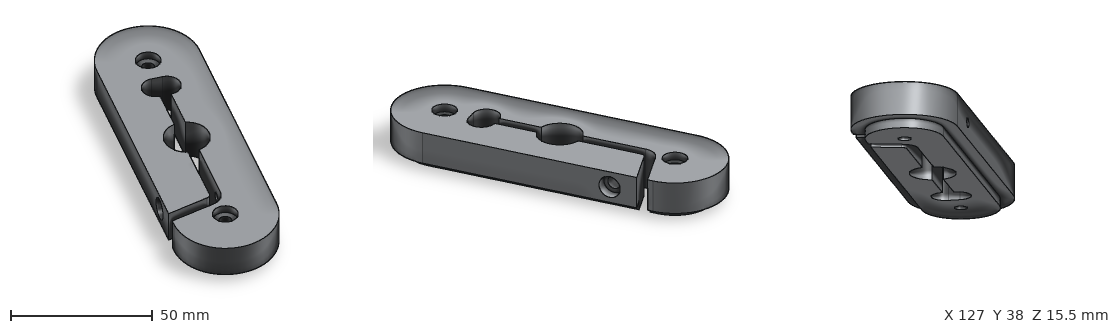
import cadquery as cq
import math

length = 127.0
width = 38.0
step_width = 28.0
body_height = 12.1
step_height = 3.4
total_height = body_height + step_height
end_center = (length - width) / 2
step_length = 2 * end_center + step_width

slot_width = 4.1
bore_diameter = 16.5
relief_center_x = -29.3
relief_width = 10.0
relief_length = 14.2
slot_bend_x = 35.3
slot_bend_radius = 4.0
slot_lean = math.radians(15)

mount_hole_diameter = 4.6
mount_head_diameter = 9.0
mount_head_depth = 3.0

clamp_x = 27.8
clamp_z = step_height + body_height / 2
clamp_head_diameter = 8.1
clamp_head_depth = 4.1
clamp_clearance_diameter = 5.0
clamp_core_diameter = 3.4


def make_body():
    step = cq.Workplane("XY").slot2D(step_length, step_width).extrude(step_height)
    upper = (
        cq.Workplane("XY").workplane(offset=step_height)
        .slot2D(length, width).extrude(body_height)
    )
    return step.union(upper)


def make_slot():
    """Sweep a constant-width slot from the relief, round the bend and out of the front."""
    turn = math.pi / 2 - slot_lean
    tangent = slot_bend_radius * math.tan(turn / 2)
    bend_start_x = slot_bend_x - tangent
    exit_y = -width
    exit_x = slot_bend_x - exit_y * math.tan(slot_lean)

    def bend_point(angle):
        return (
            bend_start_x + slot_bend_radius * math.sin(angle),
            slot_bend_radius * (math.cos(angle) - 1),
        )

    path = (
        cq.Workplane("XY", origin=(0, 0, total_height / 2))
        .moveTo(relief_center_x, 0).lineTo(bend_start_x, 0)
        .threePointArc(bend_point(turn / 2), bend_point(turn))
        .lineTo(exit_x, exit_y)
    )
    return (
        cq.Workplane("YZ", origin=(relief_center_x, 0, total_height / 2))
        .rect(slot_width, total_height)
        .sweep(path)
    )


def make_openings():
    bore = cq.Workplane("XY").circle(bore_diameter / 2).extrude(total_height)
    relief = (
        cq.Workplane("XY").center(relief_center_x, 0)
        .slot2D(relief_length, relief_width, 90).extrude(total_height)
    )
    return bore.union(relief)


def drill_mount_holes(part):
    return (
        part.faces(">Z").workplane(origin=(0, 0, total_height))
        .pushPoints([(-end_center, 0), (end_center, 0)])
        .cboreHole(mount_hole_diameter, mount_head_diameter, mount_head_depth)
    )


def make_clamp_hole():
    """Head recess and clearance hole up to the slot, threaded core hole beyond it."""
    def bore_from_front(diameter, depth):
        return (
            cq.Workplane("XZ", origin=(clamp_x, -width / 2, clamp_z))
            .circle(diameter / 2).extrude(-depth)
        )

    return (
        bore_from_front(clamp_head_diameter, clamp_head_depth)
        .union(bore_from_front(clamp_clearance_diameter, width / 2))
        .union(bore_from_front(clamp_core_diameter, width))
    )


result = make_body().cut(make_slot()).cut(make_openings())
result = drill_mount_holes(result).cut(make_clamp_hole())